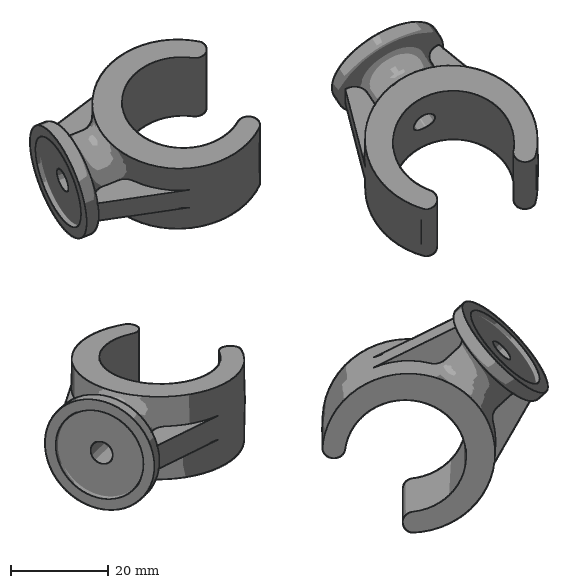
import cadquery as cq
import math

total_length = 40.6
flange_radius = 12.5
flange_thickness = 3.2
flange_rim_fillet = 0.97
neck_radius = 8.05
neck_root_fillet = 3.0
neck_ring_fillet = 3.0
screw_hole_radius = 2.5
recess_radius = 10.03
recess_floor_fillet = 0.2
recess_depth = 1.0

bore_radius = 12.5
bore_center_y = 29.03
outer_radius = 17.965
outer_center_y = 28.1
outer_draft = 1.0
tip_radius = 2.4
half_height_near = 9.6
half_height_far = 9.15
near_y = outer_center_y - outer_radius

rib_thickness = 5.52
rib_foot_x = 11.1
rib_end_x = 17.17
rib_end_y = 23.15

tip_y = total_length - tip_radius
tip_x = math.sqrt((bore_radius + tip_radius) ** 2 - (tip_y - bore_center_y) ** 2)


def along_y(radius, start, end):
    """Cylinder about the Y axis between two Y positions."""
    return cq.Workplane("XZ", origin=(0, start, 0)).circle(radius).extrude(start - end)


def along_z(radius, x, y):
    """Cylinder parallel to Z, taller than the ring."""
    return cq.Workplane("XY").center(x, y).circle(radius).extrude(total_length, both=True)


def ring_blank():
    """Outer wall drafted both ways from mid-height, with slightly sloping end faces."""
    circle = cq.Workplane("XY").center(0, outer_center_y).circle(outer_radius)
    upper_half = circle.extrude(half_height_near, taper=outer_draft)
    blank = upper_half.union(upper_half.mirror("XY"))
    end_faces = (
        cq.Workplane("YZ")
        .moveTo(near_y, half_height_near)
        .lineTo(total_length, half_height_far)
        .lineTo(total_length * 2, half_height_far)
        .lineTo(total_length * 2, -half_height_far)
        .lineTo(total_length, -half_height_far)
        .lineTo(near_y, -half_height_near)
        .close()
        .extrude(total_length, both=True)
    )
    return blank.intersect(end_faces)


def ring_with_neck():
    """Ring blank joined to the neck by a fillet around the joint."""
    neck = along_y(neck_radius, flange_thickness, outer_center_y)
    neck = neck.rotate((0, 0, 0), (0, 1, 0), 90)
    body = ring_blank().union(neck)
    reach = neck_radius + 0.4
    joint = cq.selectors.BoxSelector(
        (-reach, near_y - 0.4, -reach),
        (reach, near_y + neck_radius / 2, reach),
    )
    return body.edges(joint).edges("not |Y").fillet(neck_ring_fillet)


def flange():
    """Flange disc with a rounded rear rim and a concave sweep into the neck."""
    sweep_top = flange_thickness + neck_root_fillet
    rim_y = flange_thickness - flange_rim_fillet
    diagonal = math.sqrt(0.5)
    rim_inner = flange_radius - flange_rim_fillet
    sweep_outer = neck_radius + neck_root_fillet
    return (
        cq.Workplane("XY")
        .lineTo(flange_radius, 0)
        .lineTo(flange_radius, rim_y)
        .threePointArc(
            (rim_inner + flange_rim_fillet * diagonal, rim_y + flange_rim_fillet * diagonal),
            (rim_inner, flange_thickness),
        )
        .lineTo(sweep_outer, flange_thickness)
        .threePointArc(
            (sweep_outer - neck_root_fillet * diagonal, sweep_top - neck_root_fillet * diagonal),
            (neck_radius, sweep_top),
        )
        .lineTo(0, sweep_top)
        .close()
        .revolve(360, (0, 0, 0), (0, 1, 0))
    )


def ribs():
    """Flat web reaching both sides, from the flange to the ring's outer wall."""
    return (
        cq.Workplane("XY")
        .polyline([
            (-rib_foot_x, flange_thickness),
            (rib_foot_x, flange_thickness),
            (rib_end_x, rib_end_y),
            (0, outer_center_y),
            (-rib_end_x, rib_end_y),
        ])
        .close()
        .extrude(rib_thickness / 2, both=True)
    )


def ring_opening():
    """Wedge between the arms, less the round tips."""
    reach = 3
    far_x = reach * tip_x
    far_y = bore_center_y + reach * (tip_y - bore_center_y)
    wedge = (
        cq.Workplane("XY")
        .polyline([(0, bore_center_y), (far_x, far_y), (-far_x, far_y)])
        .close()
        .extrude(total_length, both=True)
    )
    return wedge.cut(along_z(tip_radius, tip_x, tip_y)).cut(along_z(tip_radius, -tip_x, tip_y))


def face_recess():
    """Shallow round recess in the flange face, with a small fillet around its floor."""
    return along_y(recess_radius, 0, recess_depth).faces(">Y").edges().fillet(recess_floor_fillet)


result = (
    ring_with_neck()
    .union(flange())
    .union(ribs())
    .cut(along_z(bore_radius, 0, bore_center_y))
    .cut(ring_opening())
    .cut(face_recess())
    .cut(along_y(screw_hole_radius, 0, bore_center_y))
)